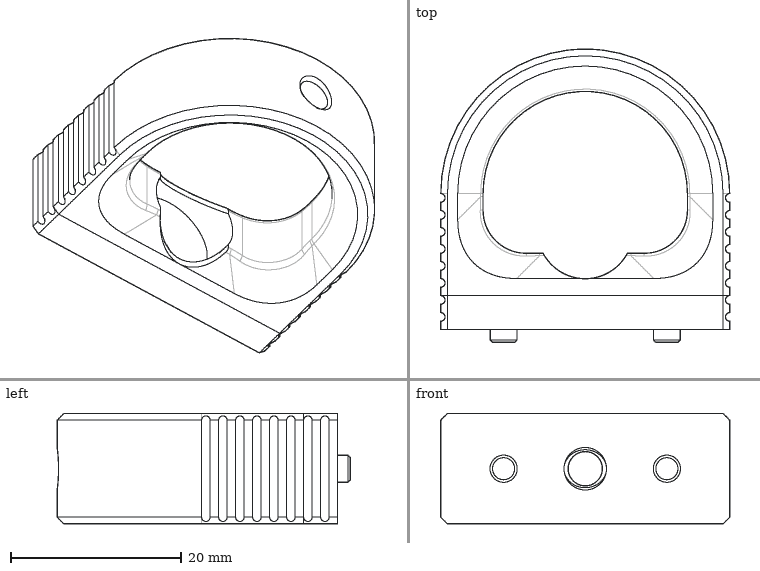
import cadquery as cq
outer_radius = 17.0
thickness = 13.0
half_thickness = thickness / 2
rim_chamfer = 0.8
joint_y = -12.0
plate_thickness = 4.0
base_y = joint_y - plate_thickness

bore_radius = 12.0
bore_floor_y = -7.0
bore_corner_radius = 5.0
flare_depth = 3.0
flare_corner_radius = 9.8
throat_fillet = 1.0

relief_diameter = 11.2
relief_y = -4.4

screw_hole_diameter = 5.0
screw_head_diameter = 11.2
screw_head_depth = 2.8
screw_head_y = joint_y - screw_head_depth

crown_hole_diameter = 4.0
crown_mouth_diameter = 5.0
crown_countersink_depth = (crown_mouth_diameter - crown_hole_diameter) / 2

peg_diameter = 3.2
peg_length = 1.5
peg_chamfer = 0.3
peg_x = 9.6

groove_radius = 0.5
groove_pitch = 2.0
groove_count = 8
first_groove_y = -0.5


def d_outline(radius, floor_y, z):
    """Half circle on the +Y side with straight sides down to a flat floor."""
    return (
        cq.Workplane("XY", origin=(0, 0, z))
        .moveTo(-radius, floor_y)
        .lineTo(radius, floor_y)
        .lineTo(radius, 0)
        .threePointArc((0, radius), (-radius, 0))
        .close()
    )


def make_blank():
    """Ring and plate together, before they are parted."""
    blank = d_outline(outer_radius, base_y, -half_thickness).extrude(thickness)
    rim = blank.faces("|Z").edges("not(<Y)")
    return rim.chamfer(rim_chamfer)


def make_flare():
    """Upper flare of the opening, narrowing downwards from the top face."""
    mouth = d_outline(bore_radius + flare_depth, bore_floor_y - flare_depth, half_thickness)
    sharp = mouth.extrude(-flare_depth, taper=45)
    corners = sharp.edges("%LINE").edges("not(#Z)").edges("<Y")
    return corners.fillet(flare_corner_radius)


def make_opening():
    """Straight bore with a flare at the top and its mirror image at the bottom."""
    bore = d_outline(bore_radius, bore_floor_y, -half_thickness).extrude(thickness)
    bore = bore.edges("|Z and <Y").fillet(bore_corner_radius)
    flare = make_flare()
    return bore.union(flare).union(flare.mirror("XY"))


def round_throat(body):
    """Round the edge loop where each flare runs into the straight bore."""
    flare_bottom_z = half_thickness - flare_depth
    near_z = 0.8 * flare_bottom_z
    far_z = 1.2 * flare_bottom_z
    reach = bore_radius + 0.5
    for low_z, high_z in ((near_z, far_z), (-far_z, -near_z)):
        throat = cq.selectors.BoxSelector(
            (-reach, -reach, low_z), (reach, reach, high_z), boundingbox=True)
        body = body.edges(throat).fillet(throat_fillet)
    return body


def make_relief():
    return (
        cq.Workplane("XY", origin=(0, relief_y, -half_thickness))
        .circle(relief_diameter / 2)
        .extrude(thickness)
    )


def make_grooves():
    points = []
    for index in range(groove_count):
        groove_y = first_groove_y - index * groove_pitch
        points += [(-outer_radius, groove_y), (outer_radius, groove_y)]
    return (
        cq.Workplane("XY", origin=(0, 0, -half_thickness))
        .pushPoints(points)
        .circle(groove_radius)
        .extrude(thickness)
    )


def turn_about_y(profile):
    """Solid of revolution about the Y axis from (radius, y) points in order of y."""
    outline = [(0, profile[0][1])] + profile + [(0, profile[-1][1])]
    return cq.Workplane("XY").polyline(outline).close().revolve(360, (0, 0, 0), (0, 1, 0))


def make_screw_seat():
    """Clearance hole in the plate that widens to the head bore through the ring floor."""
    hole_radius = screw_hole_diameter / 2
    head_radius = screw_head_diameter / 2
    return turn_about_y([
        (hole_radius, base_y),
        (hole_radius, screw_head_y),
        (head_radius, joint_y),
        (head_radius, relief_y),
    ])


def make_crown_hole():
    """Hole through the crown with a countersink at its inner and outer mouth."""
    hole_radius = crown_hole_diameter / 2
    mouth_radius = crown_mouth_diameter / 2
    inner_mouth_y = (bore_radius**2 - mouth_radius**2) ** 0.5
    return turn_about_y([
        (mouth_radius, 0),
        (mouth_radius, inner_mouth_y),
        (hole_radius, inner_mouth_y + crown_countersink_depth),
        (hole_radius, outer_radius - crown_countersink_depth),
        (mouth_radius, outer_radius),
    ])


def make_body():
    """Ring and plate with every cut in place, still in one piece."""
    body = round_throat(make_blank().cut(make_opening()))
    for cutter in (make_relief(), make_grooves(), make_screw_seat(), make_crown_hole()):
        body = body.cut(cutter)
    return body


def make_plate_zone():
    """Block that encloses everything on the plate side of the joint."""
    return (
        cq.Workplane("XY", origin=(0, 0, -half_thickness))
        .moveTo(-outer_radius, base_y)
        .lineTo(outer_radius, base_y)
        .lineTo(outer_radius, joint_y)
        .lineTo(-outer_radius, joint_y)
        .close()
        .extrude(thickness)
    )


def make_pegs():
    return (
        cq.Workplane("XZ", origin=(0, base_y, 0))
        .pushPoints([(-peg_x, 0), (peg_x, 0)])
        .circle(peg_diameter / 2)
        .extrude(peg_length)
        .faces("<Y")
        .chamfer(peg_chamfer)
    )


body = make_body()
plate_zone = make_plate_zone()
ring = body.cut(plate_zone)
base_plate = body.intersect(plate_zone).union(make_pegs())

result = cq.Compound.makeCompound([ring.val(), base_plate.val()])